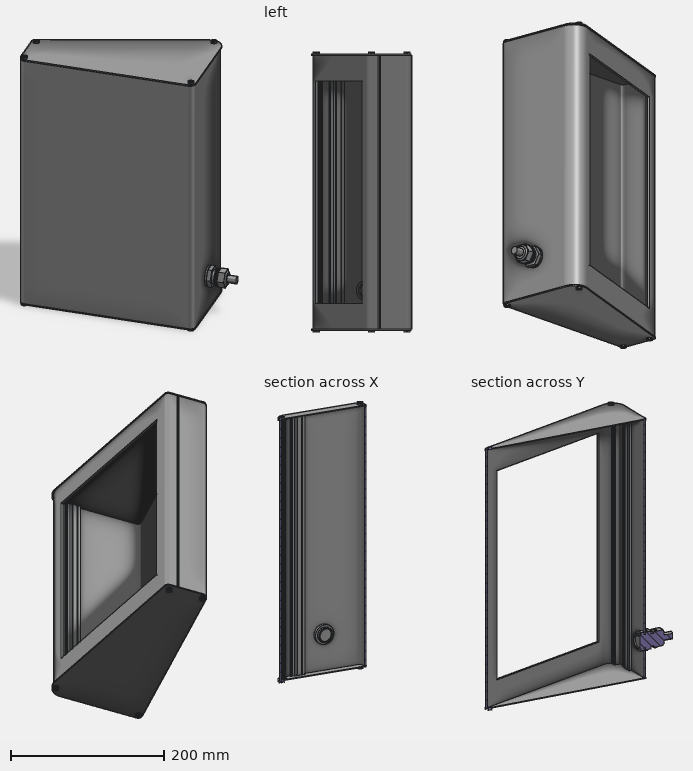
import cadquery as cq
import math


TOTAL_HEIGHT = 365.0
TOTAL_LENGTH = 280.3
CAP_LENGTH = 240.5
SLOPE_ANGLE = 18.0
CORNER_Y = 58.5
WALL = 3.0
FRONT_RADIUS = 7.5
LOW_RADIUS = 6.0
BODY_PEAK_RADIUS = 19.0
CAP_PEAK_RADIUS = 16.5

CAP_THICKNESS = 2.0
CAP_INSET = 0.7
CAP_OVERHANG = 0.5

HEAD_RADIUS = 4.0
HEAD_HEIGHT = 2.2
RECESS_LENGTH = 5.0
RECESS_WIDTH = 1.5
RECESS_DEPTH = 1.0
SCREW_PLACES = [(6.0, 6.2), (234.3, 6.2), (7.0, 52.5), (227.0, 124.5)]

GROOVE_Y = 42.5
GROOVE_WIDTH = 3.0
GROOVE_DEPTH = 1.5

WINDOW_HEIGHT = 289.8
WINDOW_CUT_DEPTH = 7.3
WINDOW_Y_START = 65.0
WINDOW_Y_END = 125.5

SLIT_DEPTH = 2.2
LOWER_RAIL_FACE = 233.5
LOWER_RAIL_SPAN = (87.5, 107.5)
LOWER_RAIL_SLITS = [(92.0, 1.0), (99.0, 1.0), (106.2, 1.0)]
LOWER_RAIL_STEP_Y = 102.2
LOWER_RAIL_STEP_DEPTH = 1.0
UPPER_RAIL_FACE = 227.7
UPPER_RAIL_SPAN = (116.5, 124.0)
UPPER_RAIL_SLITS = [(118.2, 1.0), (120.5, 1.0), (122.5, 1.0)]

GLAND_Y = 58.8
GLAND_Z = 54.5
STEM_RADIUS = 9.5
INNER_NUT_RADIUS = 13.5
INNER_NUT_LENGTH = 4.5
STEM_END_RADIUS = 10.5
STEM_END_LENGTH = 3.5
STEM_BORE_RADIUS = 8.8
STEM_BORE_DEPTH = 2.2
SEAL_RADIUS = 14.0
SEAL_LENGTH = 2.5
BASE_HEX_FLATS = 25.0
BASE_HEX_END = 8.0
NECK_END = 11.5
COLLAR_RADIUS = 12.5
COLLAR_END = 16.8
COLLAR_CHAMFER = 2.0
COLLAR_GROOVE_START = 14.2
COLLAR_GROOVE_WIDTH = 1.0
COLLAR_GROOVE_DEPTH = 0.7
CAP_HEX_FLATS = 22.3
CAP_HEX_END = 26.0
CONE_BASE_RADIUS = 10.5
CONE_TIP_RADIUS = 8.5
CONE_END = 27.7
CABLE_RADIUS = 5.0

SLOPE = math.tan(math.radians(SLOPE_ANGLE))
BODY_BOTTOM = HEAD_HEIGHT + CAP_THICKNESS
BODY_HEIGHT = TOTAL_HEIGHT - 2 * BODY_BOTTOM
CAP_TOP = TOTAL_HEIGHT - HEAD_HEIGHT
MID_Z = TOTAL_HEIGHT / 2
WALL_X = CAP_LENGTH - CAP_OVERHANG


def box(x_range, y_range, z_range):
    """Box between two limits along each axis."""
    sides = [high - low for low, high in (x_range, y_range, z_range)]
    return cq.Workplane("XY").box(*sides, centered=False).translate((x_range[0], y_range[0], z_range[0]))


def wedge(front_y, setback, peak_radius, bottom, height):
    """Upright four-sided prism with one slanted wall and rounded vertical edges.

    The setback moves every wall inward except the front one.
    """
    left = setback
    right = CAP_LENGTH - setback
    slope_base = CORNER_Y - setback / math.cos(math.radians(SLOPE_ANGLE))
    corners = [
        (left, front_y),
        (right, front_y),
        (right, slope_base + right * SLOPE),
        (left, slope_base + left * SLOPE),
    ]
    radii = [FRONT_RADIUS, FRONT_RADIUS, peak_radius, LOW_RADIUS]
    prism = cq.Workplane("XY").polyline(corners).close().extrude(height)
    for (x, y), radius in zip(corners, radii):
        prism = prism.edges(cq.NearestToPointSelector((x, y, height / 2))).fillet(radius)
    return prism.translate((0, 0, bottom))


def body_envelope():
    """Solid outer shape of the hollow profile."""
    return wedge(0, CAP_OVERHANG, BODY_PEAK_RADIUS, BODY_BOTTOM, BODY_HEIGHT)


def tube():
    """Hollow profile between the two caps."""
    outside = body_envelope()
    cavity_outline = outside.faces("<Z").val().outerWire().offset2D(-WALL)[0]
    cavity = cq.Workplane("XY").add(cq.Solid.extrudeLinear(cavity_outline, [], cq.Vector(0, 0, BODY_HEIGHT)))
    return outside.cut(cavity)


def slotted_rail(face_x, span, slits):
    """Full-height rail with slits in its face, backed by the +X wall."""
    z_range = (BODY_BOTTOM, BODY_BOTTOM + BODY_HEIGHT)
    rail = box((face_x, WALL_X), span, z_range).intersect(body_envelope())
    for centre, width in slits:
        y_range = (centre - width / 2, centre + width / 2)
        rail = rail.cut(box((face_x, face_x + SLIT_DEPTH), y_range, z_range))
    return rail


def lower_rail():
    """Rail with a step along its upper side."""
    rail = slotted_rail(LOWER_RAIL_FACE, LOWER_RAIL_SPAN, LOWER_RAIL_SLITS)
    step = box(
        (LOWER_RAIL_FACE, LOWER_RAIL_FACE + LOWER_RAIL_STEP_DEPTH),
        (LOWER_RAIL_STEP_Y, LOWER_RAIL_SPAN[1]),
        (BODY_BOTTOM, BODY_BOTTOM + BODY_HEIGHT),
    )
    return rail.cut(step)


def upper_rail():
    return slotted_rail(UPPER_RAIL_FACE, UPPER_RAIL_SPAN, UPPER_RAIL_SLITS)


def side_groove():
    """V-shaped cutter along the whole profile."""
    half_width = GROOVE_WIDTH / 2
    outline = [
        (CAP_OVERHANG, GROOVE_Y - half_width),
        (CAP_OVERHANG + GROOVE_DEPTH, GROOVE_Y),
        (CAP_OVERHANG, GROOVE_Y + half_width),
    ]
    return cq.Workplane("XY", origin=(0, 0, BODY_BOTTOM)).polyline(outline).close().extrude(BODY_HEIGHT)


def window():
    """Rectangular cutter square to the slanted wall and deep enough to pass through it."""
    middle_y = (WINDOW_Y_START + WINDOW_Y_END) / 2
    middle_x = (middle_y - CORNER_Y) / SLOPE
    width = (WINDOW_Y_END - WINDOW_Y_START) / math.sin(math.radians(SLOPE_ANGLE))
    cutter = cq.Workplane("XY").box(width, WINDOW_CUT_DEPTH, WINDOW_HEIGHT)
    return cutter.rotate((0, 0, 0), (0, 0, 1), SLOPE_ANGLE).translate((middle_x, middle_y, MID_Z))


def screw_heads():
    """Cross-recessed heads standing on the top cap."""
    heads = cq.Workplane("XY", origin=(0, 0, CAP_TOP)).pushPoints(SCREW_PLACES)
    heads = heads.circle(HEAD_RADIUS).extrude(HEAD_HEIGHT)
    for sides in ((RECESS_LENGTH, RECESS_WIDTH), (RECESS_WIDTH, RECESS_LENGTH)):
        slots = cq.Workplane("XY", origin=(0, 0, TOTAL_HEIGHT)).pushPoints(SCREW_PLACES)
        heads = heads.cut(slots.rect(*sides).extrude(-RECESS_DEPTH))
    return heads


def end_cap():
    """Top cap with its screw heads."""
    cap = wedge(CAP_INSET, 0, CAP_PEAK_RADIUS, CAP_TOP - CAP_THICKNESS, CAP_THICKNESS)
    return cap.union(screw_heads())


def gland_axis(distance):
    """Workplane square to the gland axis, at a distance out from the +X wall."""
    return cq.Workplane("YZ", origin=(WALL_X + distance, GLAND_Y, GLAND_Z))


def disc(start, end, radius):
    return gland_axis(start).circle(radius).extrude(end - start)


def hexagon(start, end, flats):
    """Hexagonal prism with its corners toward +Y and -Y."""
    return gland_axis(start).polygon(6, flats / math.cos(math.pi / 6)).extrude(end - start)


def make_housing():
    top = end_cap()
    bottom = top.mirror("XY", (0, 0, MID_Z))
    housing = tube().union(lower_rail()).union(upper_rail()).union(top).union(bottom)
    housing = housing.cut(side_groove()).cut(window())
    return housing.cut(disc(-WALL, 0, STEM_RADIUS))


def make_gland():
    inner_nut_start = -WALL - INNER_NUT_LENGTH
    stem_start = inner_nut_start - STEM_END_LENGTH
    collar = disc(NECK_END, COLLAR_END, COLLAR_RADIUS).faces("<X").chamfer(COLLAR_CHAMFER)
    groove_end = COLLAR_GROOVE_START + COLLAR_GROOVE_WIDTH
    groove = disc(COLLAR_GROOVE_START, groove_end, COLLAR_RADIUS)
    groove = groove.cut(disc(COLLAR_GROOVE_START, groove_end, COLLAR_RADIUS - COLLAR_GROOVE_DEPTH))
    cone = cq.Workplane("XY").add(cq.Solid.makeCone(
        CONE_BASE_RADIUS, CONE_TIP_RADIUS, CONE_END - CAP_HEX_END,
        cq.Vector(WALL_X + CAP_HEX_END, GLAND_Y, GLAND_Z), cq.Vector(1, 0, 0)))
    parts = [
        disc(stem_start, inner_nut_start, STEM_END_RADIUS),
        disc(inner_nut_start, -WALL, INNER_NUT_RADIUS),
        disc(0, SEAL_LENGTH, SEAL_RADIUS),
        hexagon(SEAL_LENGTH, BASE_HEX_END, BASE_HEX_FLATS),
        collar.cut(groove),
        hexagon(COLLAR_END, CAP_HEX_END, CAP_HEX_FLATS),
        cone,
        disc(CONE_END, TOTAL_LENGTH - WALL_X, CABLE_RADIUS),
    ]
    gland = disc(-WALL, NECK_END, STEM_RADIUS)
    for part in parts:
        gland = gland.union(part)
    return gland.cut(disc(stem_start, stem_start + STEM_BORE_DEPTH, STEM_BORE_RADIUS))


housing = make_housing()
gland = make_gland()

result = cq.Compound.makeCompound([housing.val(), gland.val()])